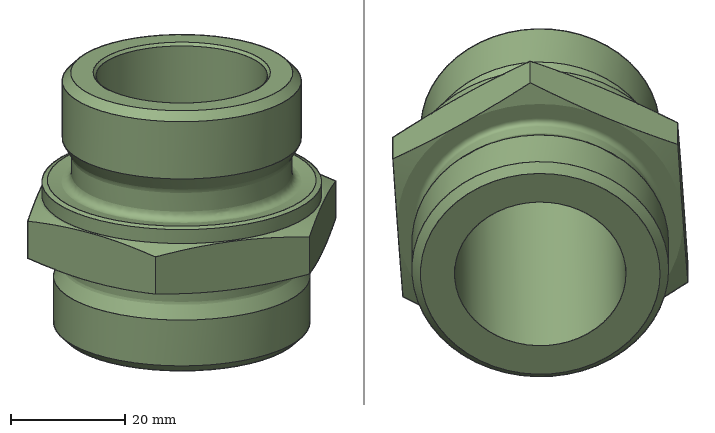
import cadquery as cq
import math

corner_radius = 28.85
flat_radius = corner_radius * math.cos(math.radians(30))
hex_bottom = 16.05
hex_top = 25.05
hex_chamfer_slope = math.tan(math.radians(15))

bore_radius = 30.0 / 2
bore_chamfer = 0.5

lower_radius = 45.0 / 2
lower_neck_radius = 42.0 / 2
lower_land_top = 10.05

total_height = 48.0
upper_radius = 41.9 / 2
upper_neck_radius = 38.6 / 2
upper_land_bottom = 35.8

collar_radius = 49.0 / 2
collar_edge_height = 27.65
rim_radius = 23.55
rim_height = 27.95
dish_height = 27.35

end_chamfer = 1.5
undercut_slope = math.tan(math.radians(60))
lower_undercut_blend = 1.0
upper_undercut_blend = 1.5
lower_root_fillet = 1.0
upper_root_fillet = 1.5

lower_neck_start = lower_land_top + (lower_radius - lower_neck_radius) * undercut_slope
upper_neck_end = upper_land_bottom - (upper_radius - upper_neck_radius) * undercut_slope


def turned(profile):
    """Revolve a closed (radius, height) outline about the Z axis."""
    return cq.Workplane("XZ").polyline(profile).close().revolve(360, (0, 0), (0, 1))


def fillet_circle(body, radius, height, fillet_radius):
    """Round the circular edge lying at the given radius and height."""
    tolerance = 0.005
    edges = body.edges("%CIRCLE").filter(
        lambda edge: abs(edge.radius() - radius) < tolerance
        and abs(edge.Center().z - height) < tolerance
    )
    return body.newObject(edges.vals()).fillet(fillet_radius)


def make_hexagon():
    """Hexagonal prism with its corners turned off at both ends."""
    prism = (
        cq.Workplane("XY", origin=(0, 0, hex_bottom))
        .polygon(6, 2 * corner_radius)
        .extrude(hex_top - hex_bottom)
        .rotate((0, 0, 0), (0, 0, 1), 90)
    )
    corner_drop = (corner_radius - flat_radius) * hex_chamfer_slope
    envelope = turned([
        (0, hex_bottom),
        (flat_radius, hex_bottom),
        (corner_radius, hex_bottom + corner_drop),
        (corner_radius, hex_top - corner_drop),
        (flat_radius, hex_top),
        (0, hex_top),
    ])
    return prism.intersect(envelope)


def make_lower_end():
    """Lower threaded end with its undercut neck."""
    return turned([
        (0, 0),
        (lower_radius - end_chamfer, 0),
        (lower_radius, end_chamfer),
        (lower_radius, lower_land_top),
        (lower_neck_radius, lower_neck_start),
        (lower_neck_radius, hex_bottom),
        (0, hex_bottom),
    ])


def make_upper_end():
    """Sealing collar, undercut neck and upper threaded end."""
    return turned([
        (0, hex_top),
        (collar_radius, hex_top),
        (collar_radius, collar_edge_height),
        (rim_radius, rim_height),
        (upper_neck_radius, dish_height),
        (upper_neck_radius, upper_neck_end),
        (upper_radius, upper_land_bottom),
        (upper_radius, total_height - end_chamfer),
        (upper_radius - end_chamfer, total_height),
        (0, total_height),
    ])


def make_bore():
    """Through bore with a chamfered upper mouth."""
    return turned([
        (0, 0),
        (bore_radius, 0),
        (bore_radius, total_height - bore_chamfer),
        (bore_radius + bore_chamfer, total_height),
        (0, total_height),
    ])


body = make_hexagon().union(make_lower_end()).union(make_upper_end())
body = fillet_circle(body, lower_neck_radius, lower_neck_start, lower_undercut_blend)
body = fillet_circle(body, lower_neck_radius, hex_bottom, lower_root_fillet)
body = fillet_circle(body, upper_neck_radius, dish_height, upper_root_fillet)
body = fillet_circle(body, upper_neck_radius, upper_neck_end, upper_undercut_blend)
result = body.cut(make_bore())